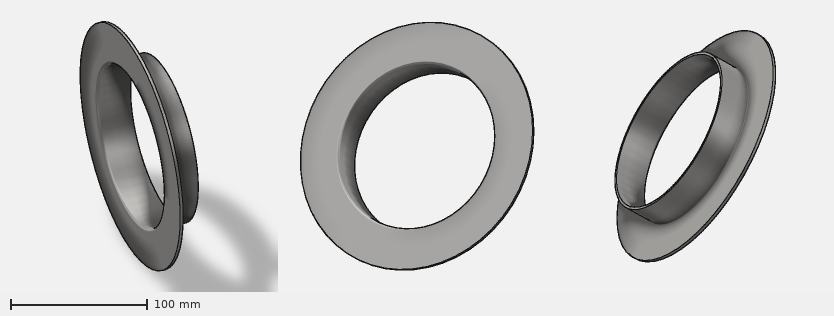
import cadquery as cq

flange_diameter = 188.0
bore_diameter = 125.0
tube_diameter = 129.0
flange_thickness = 2.5
collar_length = 27.0
inner_bend_radius = 2.0
outer_bend_radius = 1.0

flange_radius = flange_diameter / 2
bore_radius = bore_diameter / 2
tube_radius = tube_diameter / 2

section = (
    cq.Workplane("XY")
    .moveTo(bore_radius, collar_length)
    .lineTo(bore_radius, inner_bend_radius)
    .tangentArcPoint((bore_radius + inner_bend_radius, 0), relative=False)
    .lineTo(flange_radius, 0)
    .lineTo(flange_radius, flange_thickness)
    .lineTo(tube_radius + outer_bend_radius, flange_thickness)
    .tangentArcPoint((tube_radius, flange_thickness + outer_bend_radius), relative=False)
    .lineTo(tube_radius, collar_length)
    .close()
)

result = section.revolve(360, (0, 0, 0), (0, 1, 0))